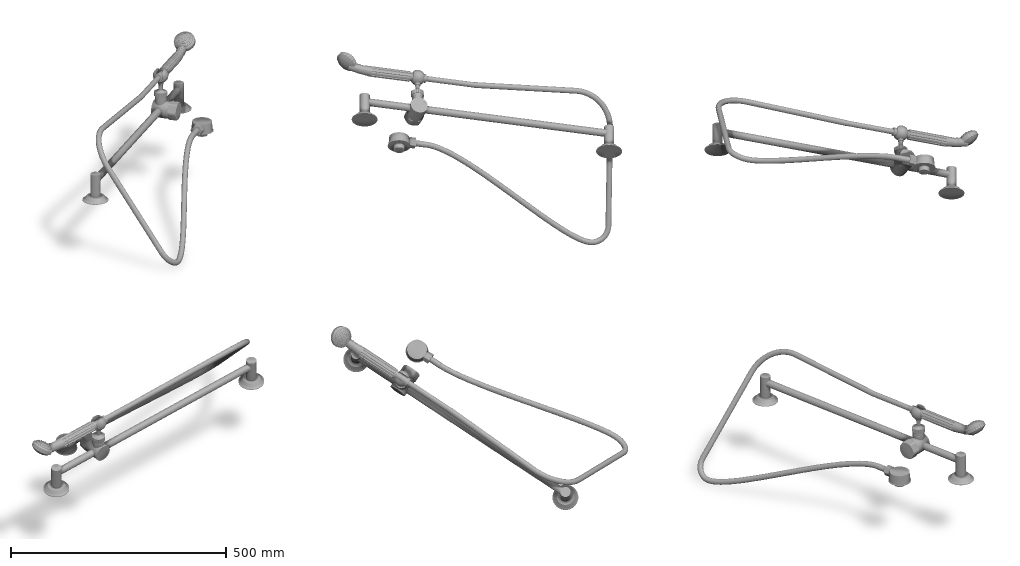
import cadquery as cq
import math


upper_post_y = -0.8
post_spacing = 585.0
post_radius = 12.0
post_height = 66.0
bar_radius = 8.8
bar_height = 49.0
flange_radius = 30.0
flange_rim_height = 1.5
flange_step_radius = 26.0
flange_step_height = 4.5
flange_top_radius = 20.0
flange_top_height = 11.0

slider_y = -127.5
slider_radius = 20.2
slider_left = -16.5
slider_right = 24.5
knob_length = 19.5
knob_flats = 40.0
knob_corner_radius = 22.0
knob_edge = 2.0
turret_radius = 13.5
turret_groove_height = 76.0
turret_groove_depth = 0.6
turret_groove_width = 0.8
collar_bottom = 83.5
collar_height = 10.0
collar_radius = 15.5
collar_cone_height = 4.0
collar_cone_radius = 11.5
collar_notch_count = 32
collar_notch_radius = 0.9
stem_radius = 5.0
stem_ring_radius = 6.5
stem_ring_height = 5.0
stem_ring_overlap = 1.5

handle_height = 133.5
ball_radius = 18.0
ball_width = 26.0
ball_slot_width = 17.0

handle_radius = 12.3
handle_top = -16.5
handle_bottom = -108.5
handle_ring_y = -27.5
handle_ring_width = 2.0
flute_count = 10
flute_radius = 2.0
tail_radius = 7.6
socket_radius = 8.2
socket_start = slider_y - 3.0
nut_radius = 10.0
nut_end = slider_y - 19.5
ferrule_radius = 6.3
ferrule_end = -263.7
neck_end = 6.5
neck_end_radius = 10.5
neck_end_height = handle_height + handle_radius - neck_end_radius
neck_root_length = 31.0
neck_root_angle = 12.0
neck_ring_radius = 11.2
neck_ring_start = 6.5
neck_ring_width = 2.5
head_y = 41.2
head_height = 152.9
head_tilt = 36.0
head_radius = 25.0
head_back_depth = 14.5
head_back_middle_radius = 16.5
head_back_middle_depth = 11.2
rim_top = 3.5
rim_bottom = -5.0
rim_notch_count = 24
rim_notch_radius = 0.8
face_height = 13.5
face_groove_radii = (8.0, 14.0, 20.5)
face_groove_width = 1.4
face_groove_depth = 1.0
nozzle_rings = ((4.0, 6), (11.0, 12), (17.0, 18))
nozzle_radius = 0.9
nozzle_length = 1.0

outlet_x = 94.8
outlet_y = -107.0
outlet_height = 13.8
outlet_base_radius = 26.5
outlet_lip_height = 1.5
outlet_lip_radius = 25.0
outlet_top_radius = 23.0
outlet_body_height = 24.0
spigot_radius = 12.7
spigot_length = 10.8
outlet_nut_flats = 22.0
outlet_neck_radius = 9.0
outlet_nut_start = -130.5
outlet_nut_end = -145.3
outlet_ferrule_radius = 7.0
outlet_ferrule_end = -171.5

hose_radius = 6.7
hose_corner = (-23.0, -586.0)
hose_corner_radius = 89.0
hose_bottom_start = (285.8, -628.4)
hose_bottom_radius = 38.3
hose_rise_pull = 75.0
hose_outlet_pull = 98.0


def upright(radius, bottom, top, x=0.0, y=0.0):
    """Cylinder along Z."""
    return cq.Workplane("XY", origin=(x, y, bottom)).circle(radius).extrude(top - bottom)


def along_y(radius, start, end, x, z):
    """Cylinder along -Y from start down to end."""
    return cq.Workplane("XZ", origin=(x, start, z)).circle(radius).extrude(start - end)


def along_x(radius, start, end):
    """Cylinder along X on the slider axis."""
    return cq.Workplane("YZ", origin=(start, slider_y, bar_height)).circle(radius).extrude(end - start)


def wall_post(y):
    flange_outline = [
        (0, 0),
        (flange_radius, 0),
        (flange_radius, flange_rim_height),
        (flange_step_radius, flange_step_height),
        (flange_top_radius, flange_top_height),
        (0, flange_top_height),
    ]
    flange = cq.Workplane("XZ").polyline(flange_outline).close().revolve(360, (0, 0), (0, 1))
    return flange.translate((0, y, 0)).union(upright(post_radius, 0, post_height, y=y))


def slide_rail():
    lower_post_y = upper_post_y - post_spacing
    bar = along_y(bar_radius, upper_post_y, lower_post_y, 0, bar_height)
    return bar.union(wall_post(upper_post_y)).union(wall_post(lower_post_y))


def knob():
    """Hexagon with flats up and down, its corners rounded by a chamfered cylinder."""
    hexagon = (
        cq.Workplane("YZ", origin=(slider_right, slider_y, bar_height))
        .polygon(6, knob_flats / math.cos(math.pi / 6))
        .extrude(knob_length)
    )
    envelope = along_x(knob_corner_radius, slider_right, slider_right + knob_length)
    return hexagon.intersect(envelope.faces(">X").chamfer(knob_edge))


def collar():
    collar_top = collar_bottom + collar_height
    ring = upright(collar_radius, collar_bottom, collar_top)
    notches = (
        cq.Workplane("XY", origin=(0, 0, collar_bottom))
        .polarArray(collar_radius, 0, 360, collar_notch_count)
        .circle(collar_notch_radius)
        .extrude(collar_height)
    )
    cone = (
        cq.Workplane("XY", origin=(0, 0, collar_top))
        .circle(collar_cone_radius)
        .workplane(offset=collar_cone_height)
        .circle(stem_radius)
        .loft(combine=True)
    )
    return ring.cut(notches).union(cone).translate((0, slider_y, 0))


def turret():
    tower = upright(turret_radius, bar_height, collar_bottom, y=slider_y)
    groove = (
        cq.Workplane("XY", origin=(0, slider_y, turret_groove_height))
        .circle(turret_radius)
        .circle(turret_radius - turret_groove_depth)
        .extrude(turret_groove_width)
    )
    stem = upright(stem_radius, collar_bottom, handle_height, y=slider_y)
    ring_top = handle_height - ball_radius + stem_ring_overlap
    ring = upright(stem_ring_radius, ring_top - stem_ring_height, ring_top, y=slider_y)
    return tower.cut(groove).union(collar()).union(stem).union(ring)


def split_ball():
    """Ball with flat sides and a slot open at the top for the hose."""
    size = 2 * ball_radius
    slab = cq.Workplane("XY").box(size, ball_width, size)
    slot = cq.Workplane("XY").box(ball_slot_width, size, size).translate((0, 0, ball_radius))
    ball = cq.Workplane("XY").sphere(ball_radius).intersect(slab).cut(slot)
    return ball.translate((0, slider_y, handle_height))


def slider():
    body = along_x(slider_radius, slider_left, slider_right)
    return body.union(knob()).union(turret()).union(split_ball())


def fluted_length(start, end):
    """Grip cylinder with flutes all round."""
    grip = along_y(handle_radius, start, end, 0, handle_height)
    flutes = (
        cq.Workplane("XZ", origin=(0, start, handle_height))
        .polarArray(handle_radius, 0, 360, flute_count)
        .circle(flute_radius)
        .extrude(start - end)
    )
    return grip.cut(flutes)


def handle():
    ring_start = handle_ring_y + handle_ring_width / 2
    ring_end = handle_ring_y - handle_ring_width / 2
    grip = fluted_length(handle_top, ring_start).union(fluted_length(ring_end, handle_bottom))
    ring = along_y(handle_radius, ring_start, ring_end, 0, handle_height)
    tail = along_y(tail_radius, handle_bottom, nut_end, 0, handle_height)
    socket = along_y(socket_radius, socket_start, nut_end, 0, handle_height)
    upper_nut = along_y(nut_radius, handle_bottom, slider_y + ball_width / 2, 0, handle_height)
    lower_nut = along_y(nut_radius, slider_y - ball_width / 2, nut_end, 0, handle_height)
    ferrule = along_y(ferrule_radius, nut_end, ferrule_end, 0, handle_height)
    fittings = tail.union(socket).union(upper_nut).union(lower_nut).union(ferrule)
    return grip.union(ring).union(fittings)


def neck():
    """Taper flush with the top of the grip, then a ringed root that bends up into the head."""
    taper = (
        cq.Workplane("XZ", origin=(0, neck_end, neck_end_height))
        .circle(neck_end_radius)
        .workplane(offset=neck_end - handle_top)
        .center(0, handle_height - neck_end_height)
        .circle(handle_radius)
        .loft(combine=True)
    )
    bend = math.radians(neck_root_angle)
    root_plane = cq.Plane(
        origin=(0, neck_end, neck_end_height),
        xDir=(1, 0, 0),
        normal=(0, math.cos(bend), math.sin(bend)),
    )
    root = cq.Workplane(root_plane).circle(neck_end_radius).extrude(neck_root_length)
    ring = (
        cq.Workplane(root_plane)
        .workplane(offset=neck_ring_start)
        .circle(neck_ring_radius)
        .extrude(neck_ring_width)
    )
    joint = cq.Workplane("XY").sphere(neck_end_radius).translate((0, neck_end, neck_end_height))
    return taper.union(root).union(ring).union(joint)


def face_level(radius):
    """Height of the domed spray face at a distance from the head axis."""
    sag = face_height - rim_top
    dome_radius = (head_radius**2 + sag**2) / (2 * sag)
    return face_height - dome_radius + math.sqrt(dome_radius**2 - radius**2)


def head_disc():
    """Turned head with a rounded back, a straight rim and a domed face, its axis along Z."""
    face_middle = head_radius / 2
    back_middle = (head_back_middle_radius, -head_back_middle_depth)
    return (
        cq.Workplane("XZ")
        .moveTo(0, -head_back_depth)
        .threePointArc(back_middle, (head_radius, rim_bottom))
        .lineTo(head_radius, rim_top)
        .threePointArc((face_middle, face_level(face_middle)), (0, face_height))
        .close()
        .revolve(360, (0, 0), (0, 1))
    )


def face_groove(radius):
    """Ring that cuts a groove into the domed face."""
    inner = radius - face_groove_width / 2
    outer = radius + face_groove_width / 2
    floor = face_level(radius) - face_groove_depth
    return cq.Workplane("XY", origin=(0, 0, floor)).circle(outer).circle(inner).extrude(face_height)


def head():
    """Spray head tilted up and towards -Y."""
    rim_notches = (
        cq.Workplane("XY", origin=(0, 0, rim_bottom))
        .polarArray(head_radius, 0, 360, rim_notch_count)
        .circle(rim_notch_radius)
        .extrude(face_height - rim_bottom)
    )
    body = head_disc().cut(rim_notches)
    for groove_radius in face_groove_radii:
        body = body.cut(face_groove(groove_radius))
    for ring_radius, count in nozzle_rings:
        nozzles = (
            cq.Workplane("XY", origin=(0, 0, face_level(ring_radius) - nozzle_length))
            .polarArray(ring_radius, 0, 360, count)
            .circle(nozzle_radius)
            .extrude(2 * nozzle_length)
        )
        body = body.union(nozzles)
    return body.rotate((0, 0, 0), (1, 0, 0), head_tilt).translate((0, head_y, head_height))


def wall_outlet():
    body_outline = [
        (0, 0),
        (outlet_base_radius, 0),
        (outlet_base_radius, outlet_lip_height),
        (outlet_lip_radius, outlet_lip_height),
        (outlet_top_radius, outlet_body_height),
        (0, outlet_body_height),
    ]
    body = cq.Workplane("XZ").polyline(body_outline).close().revolve(360, (0, 0), (0, 1))
    body = body.translate((outlet_x, outlet_y, 0))
    spigot = upright(spigot_radius, -spigot_length, 0, outlet_x, outlet_y)
    neck_piece = along_y(outlet_neck_radius, outlet_y, outlet_nut_start, outlet_x, outlet_height)
    nut = (
        cq.Workplane("XZ", origin=(outlet_x, outlet_nut_start, outlet_height))
        .polygon(6, outlet_nut_flats / math.cos(math.pi / 6))
        .extrude(outlet_nut_start - outlet_nut_end)
    )
    ferrule = along_y(outlet_ferrule_radius, outlet_nut_end, outlet_ferrule_end, outlet_x, outlet_height)
    return body.union(spigot).union(neck_piece).union(nut).union(ferrule)


def step_from(point, towards, distance):
    """Point at a distance from one point in the direction of another."""
    length = math.dist(point, towards)
    return tuple(p + (t - p) * distance / length for p, t in zip(point, towards))


def hose():
    drop = handle_height - outlet_height
    span = math.hypot(outlet_x, drop)
    plane = cq.Plane(origin=(0, 0, handle_height), xDir=(outlet_x, 0, -drop), normal=(drop, 0, outlet_x))

    start = (0.0, ferrule_end)
    end = (span, outlet_ferrule_end)

    first_heading = math.atan2(hose_corner[1] - start[1], hose_corner[0] - start[0])
    second_heading = math.atan2(
        hose_bottom_start[1] - hose_corner[1], hose_bottom_start[0] - hose_corner[0]
    )
    tangent_length = hose_corner_radius * math.tan((second_heading - first_heading) / 2)
    arc_start = step_from(hose_corner, start, tangent_length)
    arc_end = step_from(hose_corner, hose_bottom_start, tangent_length)

    bottom_end = (
        hose_bottom_start[0] + hose_bottom_radius * (1 - math.sin(second_heading)),
        hose_bottom_start[1] + hose_bottom_radius * math.cos(second_heading),
    )

    rise_control = (bottom_end[0], bottom_end[1] + hose_rise_pull)
    outlet_control = (end[0], end[1] - hose_outlet_pull)

    path = (
        cq.Workplane(plane)
        .moveTo(*start)
        .lineTo(*arc_start)
        .tangentArcPoint(arc_end, relative=False)
        .lineTo(*hose_bottom_start)
        .tangentArcPoint(bottom_end, relative=False)
        .bezier([rise_control, outlet_control, end], includeCurrent=True)
    )
    section = cq.Workplane("XZ", origin=(0, ferrule_end, handle_height)).circle(hose_radius)
    return section.sweep(path)


result = (
    slide_rail()
    .union(slider())
    .union(handle())
    .union(neck())
    .union(head())
    .union(wall_outlet())
    .union(hose())
)